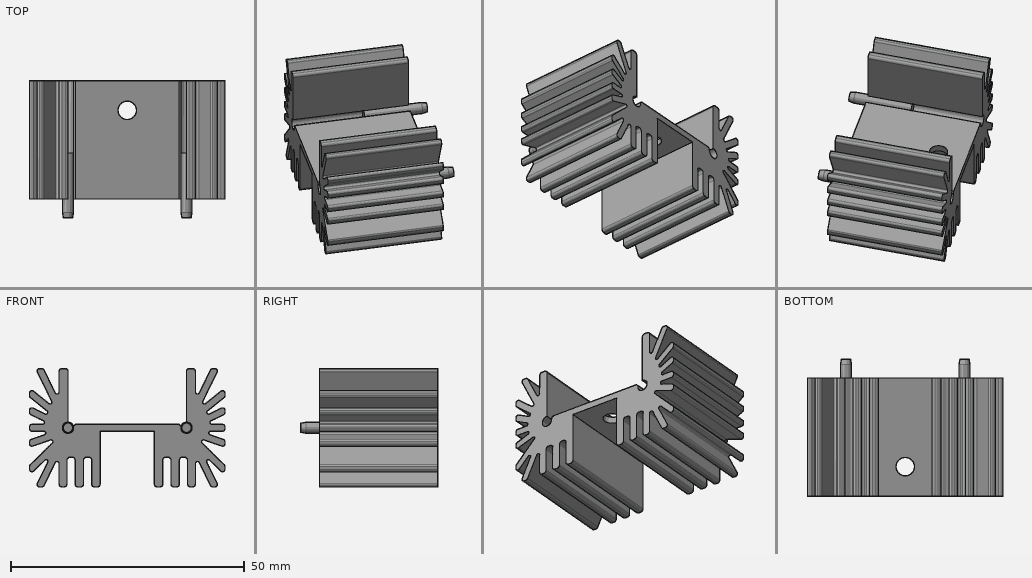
import cadquery as cq
import math

HALF_WIDTH = 20.95
HALF_HEIGHT = 12.7
LENGTH = 2 * HALF_HEIGHT

PLATE_HALF_THICKNESS = 0.75
HOLE_DIAMETER = 3.9
HOLE_FROM_BACK = LENGTH / 4

FIN_THICKNESS = 1.5
TIP_RADIUS = 0.55
STRAIGHT_RADIUS = 0.63
ROOT_RADIUS = 0.38
STRAIGHT_ROOT_RADIUS = 0.4
UPRIGHT_INNER_X = -12.65
UPRIGHT_OUTER_X = -14.63
SPLAYED_TIP_X = -18.8
SPLAY_ANGLE = 26.1

SIDE_FINS = [
    (7.6, 38.8),
    (3.77, 26.1),
    (0.0, 0.0),
    (-3.4, -19.0),
    (-9.15, -44.5),
]

SLOT_ROOF_Z = -6.33
SLOT_WIDTH = 1.7
HANGING_FIN_THICKNESS = 1.85
CHANNEL_WALL_X = -5.8

PIN_X = 12.7
PIN_RADIUS = 1.2
PIN_TIP_RADIUS = 1.0
PIN_TAPER_LENGTH = 1.17
PIN_PROTRUSION = 4.0
PIN_INSERTION = 9.9
GROOVE_LIP_CHAMFER = 0.38


def flank(tip, angle, side):
    """Line (point, direction) along one flank of a fin that points along angle.

    side = -1 is the flank met first when going round anticlockwise, +1 the other.
    """
    direction = (math.cos(math.radians(angle)), math.sin(math.radians(angle)))
    offset = side * FIN_THICKNESS / 2
    point = (tip[0] - offset * direction[1], tip[1] + offset * direction[0])
    return point, direction


def crossing(line_a, line_b):
    """Point where two lines, each given as (point, direction), cross."""
    (ax, az), (adx, adz) = line_a
    (bx, bz), (bdx, bdz) = line_b
    along_a = ((bx - ax) * bdz - (bz - az) * bdx) / (adx * bdz - adz * bdx)
    return ax + along_a * adx, az + along_a * adz


def radial_fin_corners():
    """Corners (x, z, radius) from the first valley, round the side fins, to the last valley."""
    vertical = (0.0, 1.0)
    horizontal = (1.0, 0.0)
    outer_limit = ((-HALF_WIDTH, 0.0), vertical)
    top_limit = ((0.0, HALF_HEIGHT), horizontal)
    bottom_limit = ((0.0, -HALF_HEIGHT), horizontal)

    fins = [((SPLAYED_TIP_X, HALF_HEIGHT), 90 + SPLAY_ANGLE, top_limit)]
    for tip_z, rise in SIDE_FINS:
        fins.append(((-HALF_WIDTH, tip_z), 180 - rise, outer_limit))
    fins.append(((SPLAYED_TIP_X, -HALF_HEIGHT), 270 - SPLAY_ANGLE, bottom_limit))

    upright_wall = ((UPRIGHT_OUTER_X, 0.0), vertical)
    previous_flank = upright_wall
    root_radius = STRAIGHT_ROOT_RADIUS
    corners = []
    for tip, angle, limit in fins:
        near = flank(tip, angle, -1)
        far = flank(tip, angle, 1)
        corners.append((*crossing(previous_flank, near), root_radius))
        corners.append((*crossing(near, limit), TIP_RADIUS))
        corners.append((*crossing(far, limit), TIP_RADIUS))
        previous_flank = far
        root_radius = ROOT_RADIUS
    corners.append((*crossing(previous_flank, upright_wall), STRAIGHT_ROOT_RADIUS))
    return corners


def hanging_fin_corners():
    """Corners of the hanging fins and slots, from the outermost fin to the channel wall."""
    pitch = SLOT_WIDTH + HANGING_FIN_THICKNESS
    corners = [(UPRIGHT_OUTER_X, -HALF_HEIGHT, STRAIGHT_RADIUS)]
    for fins_inward in (2, 1):
        slot_right = CHANNEL_WALL_X - HANGING_FIN_THICKNESS - (fins_inward - 1) * pitch
        slot_left = slot_right - SLOT_WIDTH
        corners += [
            (slot_left, -HALF_HEIGHT, STRAIGHT_RADIUS),
            (slot_left, SLOT_ROOF_Z, STRAIGHT_RADIUS),
            (slot_right, SLOT_ROOF_Z, STRAIGHT_RADIUS),
            (slot_right, -HALF_HEIGHT, STRAIGHT_RADIUS),
        ]
    corners.append((CHANNEL_WALL_X, -HALF_HEIGHT, STRAIGHT_RADIUS))
    return corners


def left_half_corners():
    """Corners of the left half of the section, anticlockwise from the plate top."""
    lip_x = -PIN_X + PIN_RADIUS
    return [
        (lip_x + GROOVE_LIP_CHAMFER, PLATE_HALF_THICKNESS, 0),
        (lip_x, PLATE_HALF_THICKNESS - GROOVE_LIP_CHAMFER, 0),
        (UPRIGHT_INNER_X, 0, 0),
        (UPRIGHT_INNER_X, HALF_HEIGHT, STRAIGHT_RADIUS),
        (UPRIGHT_OUTER_X, HALF_HEIGHT, STRAIGHT_RADIUS),
        *radial_fin_corners(),
        *hanging_fin_corners(),
        (CHANNEL_WALL_X, -PLATE_HALF_THICKNESS, 0),
    ]


def rounded_outline(corners):
    """Closed XZ wire through corners (x, z, radius), each rounded by a tangent arc."""
    outline = None
    for i, (x, z, radius) in enumerate(corners):
        last_x, last_z, _ = corners[i - 1]
        next_x, next_z, _ = corners[(i + 1) % len(corners)]
        corner = cq.Vector(x, z)
        to_last = (cq.Vector(last_x, last_z) - corner).normalized()
        to_next = (cq.Vector(next_x, next_z) - corner).normalized()
        half_angle = to_last.getAngle(to_next) / 2
        setback = radius / math.tan(half_angle)
        arc_start = corner + to_last * setback
        if outline is None:
            outline = cq.Workplane("XZ").moveTo(arc_start.x, arc_start.y)
        else:
            outline = outline.lineTo(arc_start.x, arc_start.y)
        if radius > 0:
            bisector = (to_last + to_next).normalized()
            arc_middle = corner + bisector * (radius / math.sin(half_angle) - radius)
            arc_end = corner + to_next * setback
            outline = outline.threePointArc((arc_middle.x, arc_middle.y), (arc_end.x, arc_end.y))
    return outline.close()


def make_heat_sink():
    """Finned extrusion with two pin grooves and a mounting hole in the plate."""
    left = left_half_corners()
    right = [(-x, z, radius) for x, z, radius in reversed(left)]
    sink = rounded_outline(left + right).extrude(-LENGTH)

    grooves = (
        cq.Workplane("XZ")
        .pushPoints([(-PIN_X, 0), (PIN_X, 0)])
        .circle(PIN_RADIUS)
        .extrude(-LENGTH)
    )
    mounting_hole = (
        cq.Workplane("XY", origin=(0, LENGTH - HOLE_FROM_BACK, -PLATE_HALF_THICKNESS))
        .circle(HOLE_DIAMETER / 2)
        .extrude(2 * PLATE_HALF_THICKNESS)
    )
    return sink.cut(grooves).cut(mounting_hole)


def make_pin(x):
    """Round pin along Y with a tapered front end, centred at the given x."""
    tip_y = -PIN_PROTRUSION
    half_profile = [
        (0, tip_y),
        (PIN_TIP_RADIUS, tip_y),
        (PIN_RADIUS, tip_y + PIN_TAPER_LENGTH),
        (PIN_RADIUS, PIN_INSERTION),
        (0, PIN_INSERTION),
    ]
    pin = cq.Workplane("XY").polyline(half_profile).close().revolve(360, (0, 0), (0, 1))
    return pin.translate((x, 0, 0))


heat_sink = make_heat_sink()
pins = [make_pin(x) for x in (-PIN_X, PIN_X)]

result = cq.Compound.makeCompound([heat_sink.val(), *[pin.val() for pin in pins]])